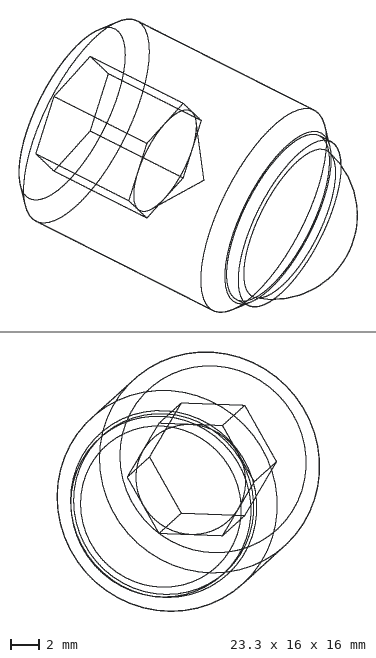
import cadquery as cq
import math

overall_length = 23.3
body_radius = 16.0 / 2
body_length = 17.7
chamfer = 1.23

collar_radius = 6.55
collar_end_x = body_length + 1.0

ball_radius = 6.0
ball_center_x = overall_length - ball_radius
ball_exposed_radius = math.sqrt(ball_radius**2 - (collar_end_x - ball_center_x) ** 2)
ball_arc_mid = ball_radius * math.cos(math.radians(45))

socket_across_flats = 8.0
socket_across_corners = socket_across_flats / math.cos(math.radians(30))
socket_depth = 8.0
drill_clearance = 0.012
drill_radius = socket_across_flats / 2 - drill_clearance
drill_point_angle = 100.0
drill_point_depth = drill_radius / math.tan(math.radians(drill_point_angle / 2))


def revolve_about_x(half_profile):
    """Close a half profile and turn it about the X axis."""
    return half_profile.close().revolve(360, (0, 0, 0), (1, 0, 0))


def make_outer_shape():
    """Chamfered body, collar and exposed ball cap as one turned solid."""
    return revolve_about_x(
        cq.Workplane("XY")
        .lineTo(0, body_radius - chamfer)
        .lineTo(chamfer, body_radius)
        .lineTo(body_length - chamfer, body_radius)
        .lineTo(body_length, body_radius - chamfer)
        .lineTo(body_length, collar_radius)
        .lineTo(collar_end_x, collar_radius)
        .lineTo(collar_end_x, ball_exposed_radius)
        .threePointArc((ball_center_x + ball_arc_mid, ball_arc_mid), (overall_length, 0))
    )


def make_hexagon():
    """Hexagonal hole with two corners on the XY plane."""
    return cq.Workplane("YZ").polygon(6, socket_across_corners).extrude(socket_depth)


def make_drill_point():
    """Cone beyond the socket floor, kept just inside the hexagon flats."""
    return revolve_about_x(
        cq.Workplane("XY")
        .moveTo(socket_depth, 0)
        .lineTo(socket_depth, drill_radius)
        .lineTo(socket_depth + drill_point_depth, 0)
    )


result = make_outer_shape().cut(make_hexagon()).cut(make_drill_point())